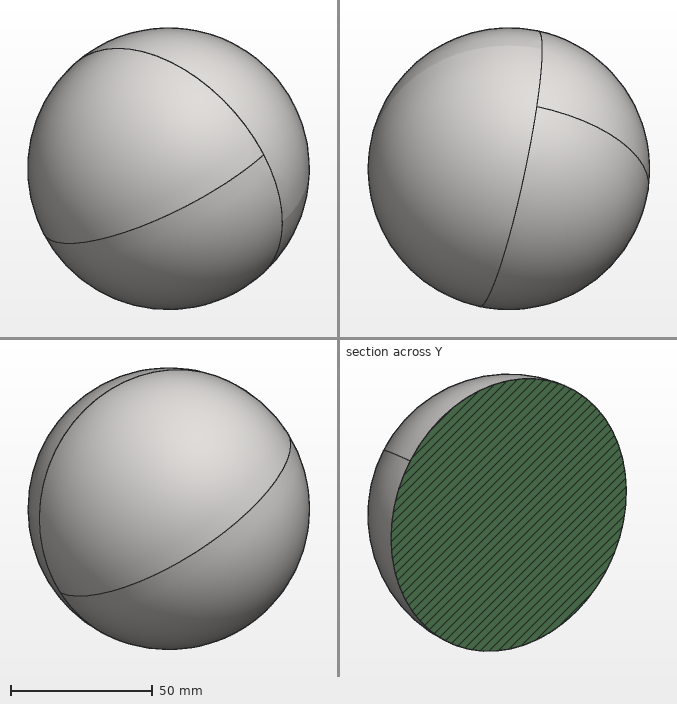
import cadquery as cq
import math

BALL_DIAMETER = 100.0
SPLIT_ANGLE = 33.2
HALF_TURN = 180.0

ball_radius = BALL_DIAMETER / 2
arc_middle = ball_radius * math.sqrt(0.5)


def back_half():
    """Half ball on the +Y side; its two arcs meet at Z = 0 and leave an equator line."""
    half_disc = (
        cq.Workplane("XZ")
        .moveTo(0, -ball_radius)
        .threePointArc((arc_middle, -arc_middle), (ball_radius, 0))
        .threePointArc((arc_middle, arc_middle), (0, ball_radius))
        .close()
    )
    return half_disc.revolve(HALF_TURN, (0, 0, 0), (0, 1, 0), clean=False)


def front_quarter(turn):
    """Quarter ball on the -Y side above Z = 0, then turned from +X towards +Z."""
    quarter_disc = (
        cq.Workplane("XZ")
        .lineTo(-ball_radius, 0)
        .threePointArc((-arc_middle, arc_middle), (0, ball_radius))
        .close()
    )
    quarter = quarter_disc.revolve(HALF_TURN, (0, 0, 0), (0, 1, 0))
    return quarter.rotate((0, 0, 0), (0, -1, 0), turn)


back = back_half()
front_quarters = [front_quarter(SPLIT_ANGLE + turn) for turn in (0, HALF_TURN)]

result = cq.Compound.makeCompound([back.val(), *[quarter.val() for quarter in front_quarters]])